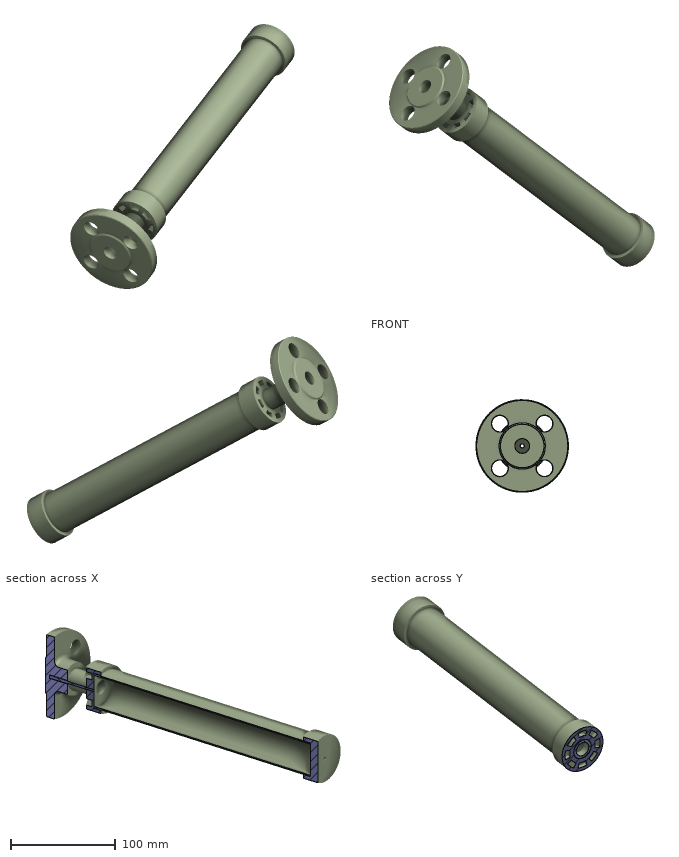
import cadquery as cq
import math

overall_length = 336.5
y_front = -overall_length / 2
y_back = overall_length / 2

flange_diameter = 89.0
flange_thickness = 10.5
flange_edge_chamfer = 0.7
raised_face_height = 1.5
raised_face_diameter = 41.7
raised_face_base_diameter = 44.5
hub_diameter = 33.3
hub_length = 16.0
hub_fillet = 4.0
bolt_hole_diameter = 15.8
bolt_circle_diameter = 60.5
bolt_hole_count = 4
first_bolt_angle = 180 / bolt_hole_count
socket_floor = 5.7

pipe_diameter = 21.2
bore_diameter = 14.0

cap_diameter = 48.5
cap_length = 18.5
cap_standoff = 50.5
cap_end_wall = 10.0
vent_diameter = 3.7
pocket_count = 8
pocket_inner_radius = 15.0
pocket_outer_radius = 20.2
pocket_angle = 28.0
pocket_depth = 6.7

tube_diameter = 41.5
tube_bore_diameter = 38.5

y_flange_front = y_front + raised_face_height
y_flange_back = y_flange_front + flange_thickness
y_hub_end = y_flange_back + hub_length
y_socket_floor = y_front + socket_floor
y_bottom_cap = y_front + cap_standoff
y_tube_start = y_bottom_cap + cap_end_wall
y_tube_end = y_back - cap_end_wall
y_top_cap = y_back - cap_length


def cylinder(diameter, y_start, y_end):
    """Solid cylinder on the Y axis."""
    plane = cq.Workplane("XZ", origin=(0, y_start, 0))
    return plane.circle(diameter / 2).extrude(y_start - y_end)


def polar_point(radius, angle):
    """Point in the XZ plane at a radius and an angle in degrees."""
    return radius * math.cos(math.radians(angle)), radius * math.sin(math.radians(angle))


def cut_bolt_holes(body):
    """Cut the evenly spaced bolt holes through the flange."""
    plane = cq.Workplane("XZ", origin=(0, y_front, 0))
    places = plane.polarArray(bolt_circle_diameter / 2, first_bolt_angle, 360, bolt_hole_count)
    holes = places.circle(bolt_hole_diameter / 2).extrude(y_front - y_flange_back)
    return body.cut(holes)


def cut_pockets(body):
    """Cut a ring of blind pockets, each a sector of an annulus, into the bottom cap's outer face."""
    half_angle = pocket_angle / 2
    for index in range(pocket_count):
        middle = index * 360 / pocket_count
        pocket = (
            cq.Workplane("XZ", origin=(0, y_bottom_cap, 0))
            .moveTo(*polar_point(pocket_inner_radius, middle - half_angle))
            .lineTo(*polar_point(pocket_outer_radius, middle - half_angle))
            .threePointArc(
                polar_point(pocket_outer_radius, middle),
                polar_point(pocket_outer_radius, middle + half_angle),
            )
            .lineTo(*polar_point(pocket_inner_radius, middle + half_angle))
            .threePointArc(
                polar_point(pocket_inner_radius, middle),
                polar_point(pocket_inner_radius, middle - half_angle),
            )
            .close()
            .extrude(-pocket_depth)
        )
        body = body.cut(pocket)
    return body


def make_flange():
    """Bolted flange with a tapered raised face and a filleted socket hub."""
    hub_radius = hub_diameter / 2
    fillet_middle = hub_fillet * (1 - math.sqrt(0.5))
    profile = (
        cq.Workplane("XY")
        .moveTo(0, y_front)
        .lineTo(raised_face_diameter / 2, y_front)
        .lineTo(raised_face_base_diameter / 2, y_flange_front)
        .lineTo(flange_diameter / 2 - flange_edge_chamfer, y_flange_front)
        .lineTo(flange_diameter / 2, y_flange_front + flange_edge_chamfer)
        .lineTo(flange_diameter / 2, y_flange_back)
        .lineTo(hub_radius + hub_fillet, y_flange_back)
        .threePointArc(
            (hub_radius + fillet_middle, y_flange_back + fillet_middle),
            (hub_radius, y_flange_back + hub_fillet),
        )
        .lineTo(hub_radius, y_hub_end)
        .lineTo(0, y_hub_end)
        .close()
    )
    body = profile.revolve(360, (0, 0, 0), (0, 1, 0))
    bore = cylinder(bore_diameter, y_front, y_hub_end)
    socket = cylinder(pipe_diameter, y_socket_floor, y_hub_end)
    return cut_bolt_holes(body.cut(bore).cut(socket))


def make_pipe():
    """Pipe from the flange socket to the tube-side face of the bottom cap's end wall."""
    body = cylinder(pipe_diameter, y_socket_floor, y_tube_start)
    return body.cut(cylinder(bore_diameter, y_socket_floor, y_tube_start))


def make_bottom_cap():
    """Cap that holds the tube and the pipe, with a ring of blind pockets in its outer face."""
    y_end = y_bottom_cap + cap_length
    body = cylinder(cap_diameter, y_bottom_cap, y_end)
    tube_recess = cylinder(tube_diameter, y_tube_start, y_end)
    pipe_hole = cylinder(pipe_diameter, y_bottom_cap, y_tube_start)
    return cut_pockets(body.cut(tube_recess).cut(pipe_hole))


def make_tube():
    """Plain tube seated in the recesses of both caps."""
    body = cylinder(tube_diameter, y_tube_start, y_tube_end)
    return body.cut(cylinder(tube_bore_diameter, y_tube_start, y_tube_end))


def make_top_cap():
    """Closed cap with a small vent hole in its end wall."""
    body = cylinder(cap_diameter, y_top_cap, y_back)
    tube_recess = cylinder(tube_diameter, y_top_cap, y_tube_end)
    vent = cylinder(vent_diameter, y_tube_end, y_back)
    return body.cut(tube_recess).cut(vent)


flange = make_flange()
pipe = make_pipe()
bottom_cap = make_bottom_cap()
tube = make_tube()
top_cap = make_top_cap()

result = cq.Compound.makeCompound(
    [flange.val(), pipe.val(), bottom_cap.val(), tube.val(), top_cap.val()]
)